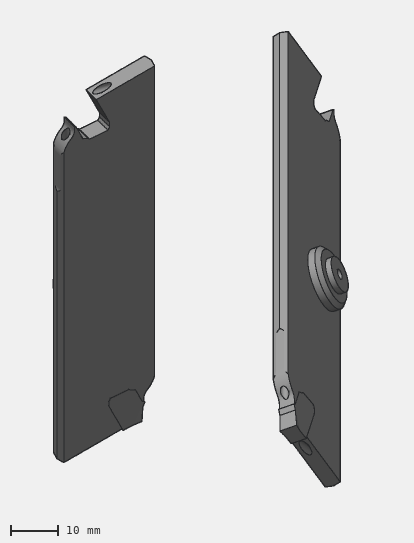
import cadquery as cq
import math


blade_length = 110.0
blade_width = 25.1
blade_thickness = 3.5
edge_angle = 15.0
half_length = blade_length / 2
half_width = blade_width / 2
half_thickness = blade_thickness / 2

wall_lean = math.tan(math.radians(20.0))
jaw_tip_y = -3.4
relief_y = 0.1
relief_end_z = 43.8
floor_start = (-0.3, 43.1)
floor_end = (-5.2, 43.6)
floor_step = (-5.7, 44.2)
ramp_end_z = 45.0

finger_inner_tip = (-8.8, 50.0)
finger_outer_tip = (-9.2, 50.3)
finger_face_end_z = 49.1
finger_bend_z = 47.2
finger_inner_y, finger_inner_z = finger_inner_tip
finger_outer_y, finger_outer_z = finger_outer_tip
ramp_end = (finger_inner_y + (finger_inner_z - ramp_end_z) * wall_lean, ramp_end_z)

seat_outline = [
    (relief_y, half_length - (relief_y - jaw_tip_y) / wall_lean),
    (relief_y, relief_end_z),
    floor_start,
    floor_end,
    floor_step,
    ramp_end,
    finger_inner_tip,
    finger_outer_tip,
]

flat_width = 1.9
flat_start_z = 42.3
flat_end_z = 31.7
runout_length = 1.2
flat_y = -half_width + flat_width / 2 * math.tan(math.radians(edge_angle))
finger_face_end = (finger_outer_y, finger_face_end_z)
flat_start = (flat_y, flat_start_z)
bend_share = (finger_face_end_z - finger_bend_z) / (finger_face_end_z - flat_start_z)
finger_bend = (finger_outer_y + (flat_y - finger_outer_y) * bend_share, finger_bend_z)

finger_hole_diameter = 1.8
finger_hole_y = -10.2
finger_hole_bottom_z = 43.8
jaw_hole_diameter = 1.8
jaw_hole_y = -0.5
jaw_hole_angle = 22.0
jaw_hole_depth = 6.7

boss_y = -4.0
boss_z = -3.4
flange_diameter = 14.0
flange_chamfer = 1.0
flange_height = 2.7
spigot_diameter = 8.0
boss_height = 4.0
boss_hole_diameter = 2.2
boss_hole_depth = 1.3

insert_overhang = 1.0
flank_drop = 0.3
cutting_edge_y = -8.5
edge_half_width = 2.0
chip_bend = (-8.9, 51.8)
chip_bump = (-9.4, 50.5)
flare_start = (-8.9, 50.6)
flare_end = (-6.5, 55.7)

clearance = 3.3


def to_lower_end(shape):
    """Turn a shape at the upper end half a turn about X."""
    return shape.rotate((0, 0, 0), (1, 0, 0), 180)


def extrude_across(outline, half_depth):
    """Extrude a closed YZ outline to both sides of the middle plane."""
    return outline.close().extrude(half_depth, both=True)


def blade_blank():
    """Flat bar whose two long edges are shallow Vs."""
    face_edge_y = half_width - half_thickness * math.tan(math.radians(edge_angle))
    section = [
        (half_thickness, face_edge_y),
        (0, half_width),
        (-half_thickness, face_edge_y),
        (-half_thickness, -face_edge_y),
        (0, -half_width),
        (half_thickness, -face_edge_y),
    ]
    return cq.Workplane("XY").polyline(section).close().extrude(half_length, both=True)


def end_cutter():
    """Everything removed around the seat, the finger and the ground flat."""
    outside_y = -half_width - clearance
    outside_z = half_length + clearance
    outline = (
        cq.Workplane("YZ")
        .moveTo(jaw_tip_y - clearance * wall_lean, outside_z)
        .polyline(seat_outline, includeCurrent=True)
        .lineTo(*finger_face_end)
        .tangentArcPoint(finger_bend, relative=False)
        .tangentArcPoint(flat_start, relative=False)
        .lineTo(flat_y, flat_end_z)
        .tangentArcPoint((-half_width, flat_end_z - runout_length), relative=False)
        .lineTo(outside_y, flat_end_z - runout_length)
        .lineTo(outside_y, outside_z)
    )
    return extrude_across(outline, half_thickness + clearance)


def coolant_holes():
    """Vertical hole in the finger's back and slanting hole in the end of the jaw."""
    finger_hole = (
        cq.Workplane("XY", origin=(0, finger_hole_y, finger_hole_bottom_z))
        .circle(finger_hole_diameter / 2)
        .extrude(finger_outer_z - finger_hole_bottom_z)
    )
    angle = math.radians(jaw_hole_angle)
    inward = cq.Vector(0, math.cos(angle), -math.sin(angle))
    mouth = cq.Vector(0, jaw_hole_y, half_length)
    start = mouth - inward * clearance
    jaw_hole = cq.Workplane(
        cq.Solid.makeCylinder(jaw_hole_diameter / 2, clearance + jaw_hole_depth, start, inward)
    )
    return finger_hole.union(jaw_hole)


def coolant_boss():
    """Chamfered flange with a spigot, rising from the -X face."""
    base = cq.Workplane("YZ", origin=(-half_thickness, boss_y, boss_z))
    flange = base.circle(flange_diameter / 2).extrude(-flange_height)
    flange = flange.faces("<X").chamfer(flange_chamfer)
    spigot = base.circle(spigot_diameter / 2).extrude(-boss_height)
    hole = (
        base.workplane(offset=-boss_height)
        .circle(boss_hole_diameter / 2)
        .extrude(boss_hole_depth)
    )
    return flange.union(spigot).cut(hole)


def make_blade():
    body = blade_blank()
    for feature in (end_cutter(), coolant_holes()):
        body = body.cut(feature).cut(to_lower_end(feature))
    return body.union(coolant_boss())


def insert_width_envelope():
    """Bar of the blade's thickness that widens steadily from the flare line to the cutting edge."""
    run_y = flare_end[0] - flare_start[0]
    run_z = flare_end[1] - flare_start[1]
    run = math.hypot(run_y, run_z)
    along = cq.Vector(0, run_y / run, run_z / run)
    toward_edge = cq.Vector(0, -run_z / run, run_y / run)
    corner = cq.Vector(0, cutting_edge_y - flare_start[0], half_length + insert_overhang - flare_start[1])
    flare_reach = corner.dot(toward_edge)
    flare_plane = cq.Plane(origin=(0, *flare_start), xDir=toward_edge, normal=along)
    section = [
        (-half_width, -half_thickness),
        (0, -half_thickness),
        (flare_reach, -edge_half_width),
        (flare_reach, edge_half_width),
        (0, half_thickness),
        (-half_width, half_thickness),
    ]
    return cq.Workplane(flare_plane).polyline(section).close().extrude(half_width, both=True)


def make_insert():
    flank_end_z = half_length + insert_overhang - flank_drop
    outline = (
        cq.Workplane("YZ")
        .moveTo(jaw_tip_y - (flank_end_z - half_length) * wall_lean, flank_end_z)
        .polyline(seat_outline, includeCurrent=True)
        .lineTo(*chip_bump)
        .lineTo(*chip_bend)
        .lineTo(cutting_edge_y, half_length + insert_overhang)
    )
    body = extrude_across(outline, edge_half_width)
    return to_lower_end(body.intersect(insert_width_envelope()))


blade = make_blade()
insert = make_insert()

result = cq.Compound.makeCompound([blade.solids().val(), insert.solids().val()])